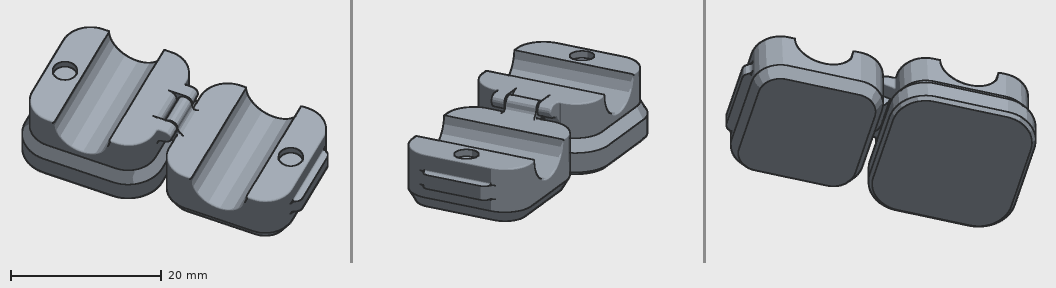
import cadquery as cq
import math


BODY_WIDTH = 18.0
BODY_RADIUS = 4.0
FLARE = 1.0
FLARE_HEIGHT = 1.7
EDGE_RADIUS = 0.25
GROOVE_RADIUS = 4.0
MAGNET_DIAMETER = 3.3
MAGNET_DEPTH = 1.0
MAGNET_OFFSET = 6.5

DIAGONAL = math.sqrt(0.5)
CORNER_CUT = 1 - DIAGONAL

NEAR = 0.005

BASE_WIDTH = BODY_WIDTH + 2 * FLARE
BASE_RADIUS = BODY_RADIUS + FLARE
BASE_HEIGHT = 10.0
BASE_CHAMFER = FLARE / 2
SHOULDER_Z = BASE_HEIGHT / 2
LEDGE_Z = SHOULDER_Z - FLARE_HEIGHT
BASE_X = BASE_WIDTH / 2
BASE_WALL_X = BASE_X + BODY_WIDTH / 2

LID_HEIGHT = 8.0
HINGE_X = BASE_WIDTH
LID_X = 2 * HINGE_X - BASE_X
LID_WALL_X = LID_X - BODY_WIDTH / 2
LID_FAR_X = LID_X + BODY_WIDTH / 2

HINGE_Z = (BASE_HEIGHT + LID_HEIGHT) / 2
KNUCKLE_RADIUS = LID_WALL_X - HINGE_X
PIN_DIAMETER = 1.0
LUG_SPAN = 9.0
LUG_SLOPE = math.radians(15.0)
POCKET_WIDTH = 5.0
SIDE_GAP = 0.2
TONGUE_WIDTH = POCKET_WIDTH - 2 * SIDE_GAP
TONGUE_UNDERSIDE_RADIUS = 4.0
ROOT_FILLET = 0.7
POCKET_WALL_X = 18.7
POCKET_DEPTH = 3.0
POCKET_LIP_RADIUS = 1.15
LUG_EMBED = 1.2

TAB_WIDTH = 10.0
TAB_REACH = 1.0
TAB_SIDE_FILLET = 1.0
TAB_BOTTOM_Z = 3.5
TAB_HEIGHT = 2.0


def rounded_block(center_x, width, radius, bottom_z, height):
    """Upright square block with rounded vertical corners."""
    return (
        cq.Workplane("XY", origin=(center_x, 0, bottom_z))
        .rect(width, width)
        .extrude(height)
        .edges("|Z")
        .fillet(radius)
    )


def flared_block(center_x, width, radius, bottom_z, height, growth):
    """Rounded block whose sides lean outward by growth (inward if negative) over its height."""
    sketch = cq.Sketch().rect(width, width).vertices().fillet(radius)
    lean = math.degrees(math.atan2(growth, height))
    return (
        cq.Workplane("XY", origin=(center_x, 0, bottom_z))
        .placeSketch(sketch)
        .extrude(height, taper=-lean)
    )


def along_hinge(profile, length):
    """Extrude a profile drawn in the XZ plane, centred on Y = 0."""
    return profile.extrude(length).translate((0, length / 2, 0))


def hinge_profile(x, z):
    """Start a profile in the XZ plane at the given point."""
    return cq.Workplane("XZ").moveTo(x, z)


def rod(center_x, center_z, radius, length):
    """Round bar parallel to the hinge axis."""
    return along_hinge(hinge_profile(center_x, center_z).circle(radius), length)


def magnet_hole(center_x, top_z):
    """Blind round recess for a magnet in a top face."""
    return (
        cq.Workplane("XY", origin=(center_x, 0, top_z - MAGNET_DEPTH))
        .circle(MAGNET_DIAMETER / 2)
        .extrude(MAGNET_DEPTH)
    )


def round_rim(body, center_x, top_z):
    """Round the top outline and the groove mouths; the groove's long edges stay sharp."""
    outline = [
        edge
        for edge in body.faces(">Z").edges().vals()
        if abs(abs(edge.Center().x - center_x) - GROOVE_RADIUS) > NEAR
        or edge.BoundingBox().ylen < NEAR
    ]
    groove_ends = [
        edge
        for edge in body.edges("%CIRCLE").vals()
        if abs(edge.Center().x - center_x) < NEAR and abs(edge.Center().y) > NEAR
    ]
    return body.newObject([body.val().fillet(EDGE_RADIUS, outline + groove_ends)])


def lug_block():
    """Round-nosed bar on the hinge axis, its underside sloping down into the base wall."""
    root_x = BASE_WALL_X - LUG_EMBED
    tangent_x = HINGE_X + KNUCKLE_RADIUS * math.sin(LUG_SLOPE)
    tangent_z = HINGE_Z - KNUCKLE_RADIUS * math.cos(LUG_SLOPE)
    root_z = tangent_z - (tangent_x - root_x) * math.tan(LUG_SLOPE)
    profile = (
        hinge_profile(root_x, BASE_HEIGHT)
        .lineTo(HINGE_X, BASE_HEIGHT)
        .threePointArc((HINGE_X + KNUCKLE_RADIUS, HINGE_Z), (tangent_x, tangent_z))
        .lineTo(root_x, root_z)
        .close()
    )
    return along_hinge(profile, LUG_SPAN)


def hinge_pocket():
    """Clearance between the lugs, with a rounded lip at the top of the base wall."""
    lip_x = POCKET_WALL_X - POCKET_LIP_RADIUS
    lip_z = BASE_HEIGHT - POCKET_LIP_RADIUS
    bend = POCKET_LIP_RADIUS * DIAGONAL
    bevel = EDGE_RADIUS * CORNER_CUT
    floor_z = BASE_HEIGHT - POCKET_DEPTH
    front_x = HINGE_X + 2 * KNUCKLE_RADIUS
    profile = (
        hinge_profile(lip_x, BASE_HEIGHT)
        .threePointArc((lip_x + bend, lip_z + bend), (POCKET_WALL_X, lip_z))
        .lineTo(POCKET_WALL_X, floor_z)
        .lineTo(BASE_WALL_X - EDGE_RADIUS, floor_z)
        .threePointArc((BASE_WALL_X - bevel, floor_z - bevel), (BASE_WALL_X, floor_z - EDGE_RADIUS))
        .lineTo(front_x, floor_z - EDGE_RADIUS)
        .lineTo(front_x, BASE_HEIGHT)
        .close()
    )
    return along_hinge(profile, POCKET_WIDTH)


def make_base():
    """Base half with its flared foot, hinge lugs and the pin fixed between them."""
    foot_width = BASE_WIDTH - 2 * BASE_CHAMFER
    foot_radius = BASE_RADIUS - BASE_CHAMFER
    foot = flared_block(BASE_X, foot_width, foot_radius, 0, BASE_CHAMFER, BASE_CHAMFER)
    skirt = rounded_block(BASE_X, BASE_WIDTH, BASE_RADIUS, BASE_CHAMFER, LEDGE_Z - BASE_CHAMFER)
    flare = flared_block(BASE_X, BASE_WIDTH, BASE_RADIUS, LEDGE_Z, FLARE_HEIGHT, -FLARE)
    upper = rounded_block(BASE_X, BODY_WIDTH, BODY_RADIUS, SHOULDER_Z, BASE_HEIGHT - SHOULDER_Z)

    upper = upper.union(lug_block())
    root = cq.selectors.BoxSelector(
        (BASE_WALL_X - NEAR, -LUG_SPAN / 2 - NEAR, SHOULDER_Z + EDGE_RADIUS),
        (BASE_WALL_X + NEAR, LUG_SPAN / 2 + NEAR, BASE_HEIGHT - EDGE_RADIUS),
    )
    upper = upper.edges(root).edges("|Y").fillet(ROOT_FILLET)
    upper = upper.edges(root).edges("|Z").fillet(EDGE_RADIUS)
    upper = upper.cut(rod(BASE_X, BASE_HEIGHT, GROOVE_RADIUS, BASE_WIDTH))
    upper = round_rim(upper, BASE_X, BASE_HEIGHT)

    base = upper.cut(hinge_pocket()).union(flare).union(skirt).union(foot)
    base = base.cut(magnet_hole(BASE_X - MAGNET_OFFSET, BASE_HEIGHT))
    return base.union(rod(HINGE_X, HINGE_Z, PIN_DIAMETER / 2, POCKET_WIDTH))


def tongue_profile():
    """Knuckle flowing in a hollow curve onto the lid top, and in a long curve down to the lid wall."""
    r = KNUCKLE_RADIUS
    bend = r * DIAGONAL
    blend_x = HINGE_X + 2 * r
    under_x = HINGE_X - r + TONGUE_UNDERSIDE_RADIUS
    under_angle = math.acos((under_x - LID_WALL_X) / TONGUE_UNDERSIDE_RADIUS)
    half_x = under_x - TONGUE_UNDERSIDE_RADIUS * math.cos(under_angle / 2)
    half_z = HINGE_Z - TONGUE_UNDERSIDE_RADIUS * math.sin(under_angle / 2)
    end_z = HINGE_Z - TONGUE_UNDERSIDE_RADIUS * math.sin(under_angle)
    return (
        hinge_profile(HINGE_X - r, HINGE_Z)
        .threePointArc((HINGE_X, HINGE_Z + r), (HINGE_X + r, HINGE_Z))
        .threePointArc((blend_x - bend, HINGE_Z - bend), (blend_x, LID_HEIGHT))
        .lineTo(blend_x, end_z)
        .lineTo(LID_WALL_X, end_z)
        .threePointArc((half_x, half_z), (HINGE_X - r, HINGE_Z))
        .close()
    )


def tongue_skirt(side):
    """Hollow fillet bar where one side of the tongue meets the lid wall, rim and top face."""
    bend = EDGE_RADIUS * CORNER_CUT
    face_y = side * TONGUE_WIDTH / 2
    path = (
        hinge_profile(LID_WALL_X, FLARE_HEIGHT)
        .lineTo(LID_WALL_X, LID_HEIGHT - EDGE_RADIUS)
        .threePointArc((LID_WALL_X + bend, LID_HEIGHT - bend), (LID_WALL_X + EDGE_RADIUS, LID_HEIGHT))
        .lineTo(LID_X, LID_HEIGHT)
    )
    section = (
        cq.Workplane("XY", origin=(LID_WALL_X, face_y, FLARE_HEIGHT))
        .lineTo(0, side * EDGE_RADIUS)
        .threePointArc((-bend, side * bend), (-EDGE_RADIUS, 0))
        .close()
    )
    reach = along_hinge(tongue_profile(), TONGUE_WIDTH + 2 * EDGE_RADIUS)
    return section.sweep(path).intersect(reach)


def add_tongue(body):
    """Add the knuckle and its web to the lid body."""
    lid = body.union(along_hinge(tongue_profile(), TONGUE_WIDTH))
    underside = cq.selectors.BoxSelector(
        (LID_WALL_X - NEAR, -TONGUE_WIDTH, FLARE_HEIGHT + NEAR),
        (LID_WALL_X + NEAR, TONGUE_WIDTH, LID_HEIGHT - KNUCKLE_RADIUS),
    )
    lid = lid.edges(underside).edges("|Y").fillet(ROOT_FILLET)
    for side in (-1, 1):
        lid = lid.union(tongue_skirt(side))
    return lid


def make_tab():
    """Opening tab with rounded ends that sweep back into the lid's corners.

    Each sweep arc touches both the tab's end arc and the lid's corner arc from outside, so its
    centre follows from the triangle of the three arc centres.
    """
    end_y = TAB_WIDTH / 2 - TAB_REACH
    corner_x = LID_FAR_X - BODY_RADIUS
    corner_y = BODY_WIDTH / 2 - BODY_RADIUS
    to_end = TAB_REACH + TAB_SIDE_FILLET
    to_corner = BODY_RADIUS + TAB_SIDE_FILLET
    apart = math.hypot(LID_FAR_X - corner_x, corner_y - end_y)
    spread = math.acos((to_end**2 + apart**2 - to_corner**2) / (2 * to_end * apart))
    lean = math.atan2(corner_y - end_y, corner_x - LID_FAR_X) - spread
    sweep_x = LID_FAR_X + to_end * math.cos(lean)
    sweep_y = end_y + to_end * math.sin(lean)
    wall_angle = math.atan2(corner_y - sweep_y, corner_x - sweep_x) % (2 * math.pi)
    end_angle = lean + math.pi

    def on_end(angle):
        return LID_FAR_X + TAB_REACH * math.cos(angle), end_y + TAB_REACH * math.sin(angle)

    def on_sweep(angle):
        return sweep_x + TAB_SIDE_FILLET * math.cos(angle), sweep_y + TAB_SIDE_FILLET * math.sin(angle)

    half = (
        cq.Workplane("XY", origin=(0, 0, TAB_BOTTOM_Z))
        .moveTo(corner_x, 0)
        .lineTo(LID_FAR_X + TAB_REACH, 0)
        .lineTo(*on_end(0))
        .threePointArc(on_end(lean / 2), on_end(lean))
        .threePointArc(on_sweep((end_angle + wall_angle) / 2), on_sweep(wall_angle))
        .lineTo(corner_x, corner_y)
        .close()
        .extrude(TAB_HEIGHT)
    )
    return half.union(half.mirror("XZ"))


def tab_skirt():
    """Hollow fillets above and below the tab's straight root."""
    bend = EDGE_RADIUS * CORNER_CUT
    top_z = TAB_BOTTOM_Z + TAB_HEIGHT
    wall_x = LID_FAR_X
    profile = (
        hinge_profile(wall_x - EDGE_RADIUS, top_z + EDGE_RADIUS)
        .lineTo(wall_x, top_z + EDGE_RADIUS)
        .threePointArc((wall_x + bend, top_z + bend), (wall_x + EDGE_RADIUS, top_z))
        .lineTo(wall_x + EDGE_RADIUS, TAB_BOTTOM_Z)
        .threePointArc((wall_x + bend, TAB_BOTTOM_Z - bend), (wall_x, TAB_BOTTOM_Z - EDGE_RADIUS))
        .lineTo(wall_x - EDGE_RADIUS, TAB_BOTTOM_Z - EDGE_RADIUS)
        .close()
    )
    return along_hinge(profile, TAB_WIDTH)


def make_lid():
    """Lid half with its tongue, which turns on the pin, and its opening tab."""
    foot = flared_block(LID_X, BODY_WIDTH - 2 * FLARE, BODY_RADIUS - FLARE, 0, FLARE_HEIGHT, FLARE)
    lid = rounded_block(LID_X, BODY_WIDTH, BODY_RADIUS, FLARE_HEIGHT, LID_HEIGHT - FLARE_HEIGHT)
    lid = lid.cut(rod(LID_X, LID_HEIGHT, GROOVE_RADIUS, BASE_WIDTH))
    lid = round_rim(lid, LID_X, LID_HEIGHT)
    lid = add_tongue(lid)
    lid = lid.union(make_tab()).union(tab_skirt()).union(foot)
    lid = lid.cut(magnet_hole(LID_X + MAGNET_OFFSET, LID_HEIGHT))
    return lid.cut(rod(HINGE_X, HINGE_Z, PIN_DIAMETER / 2, POCKET_WIDTH))


base = make_base()
lid = make_lid()

result = cq.Compound.makeCompound([base.val(), lid.val()])